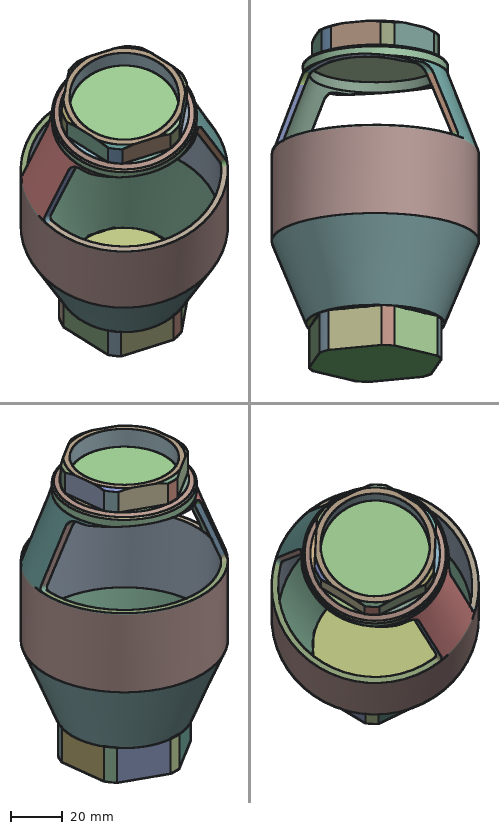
import cadquery as cq
import math

cup_radius = 40.0
wall = 2.6
collar_radius = 28.0
outlet_radius = 26.7
outlet_top = 16.0
lower_cone_top = 48.9
bowl_top = 50.0
cup_wall_top = 83.6
rim_height = 84.4
rim_radius = 39.9
upper_cone_top = 115.7
collar_top = 119.9
collar_chamfer = 0.8

outlet_flats = 47.9
outlet_corner_radius = 26.3

arm_width = 22.5
window_top = 114.5
slope_start = 18.8
slope_angle = 11.5
window_reach = cup_radius + 1.3
window_top_fillet = 3.7
window_bottom_fillet = 1.8

total_height = 130.8
flange_top = 120.7
flange_top_radius = 25.0
cap_flats = 46.0
cap_corner_radius = 25.1
cap_top_radius = 23.5
cap_chamfer_angle = 30.0
recess_radius = 21.0
recess_depth = 8.0

flange_radius = collar_radius - collar_chamfer


def revolve(points):
    """Turn a closed (radius, height) outline about the Z axis."""
    return cq.Workplane("XZ").polyline(points).close().revolve(360, (0, 0), (0, 1))


def hexagon(across_flats, bottom, height):
    """Hexagonal prism with two flats facing +X and -X."""
    across_corners = across_flats / math.cos(math.pi / 6)
    prism = cq.Workplane("XY").polygon(6, across_corners).extrude(height)
    return prism.rotate((0, 0, 0), (0, 0, 1), 30).translate((0, 0, bottom))


def make_window():
    """Cutter for the opening on the +X side, running right through along Y."""
    side = arm_width / 2
    rise = (window_reach - slope_start) * math.tan(math.radians(slope_angle))
    outline = [
        (side, rim_height),
        (window_reach, rim_height),
        (window_reach, window_top + rise),
        (slope_start, window_top),
        (side, window_top),
    ]
    cutter = cq.Workplane("XZ").polyline(outline).close().extrude(window_reach, both=True)
    top_corner = cq.selectors.NearestToPointSelector((side, 0, window_top))
    bottom_corner = cq.selectors.NearestToPointSelector((side, 0, rim_height))
    cutter = cutter.edges(top_corner).fillet(window_top_fillet)
    return cutter.edges(bottom_corner).fillet(window_bottom_fillet)


def make_housing():
    shell = revolve([
        (outlet_radius, outlet_top),
        (cup_radius, lower_cone_top),
        (cup_radius, cup_wall_top),
        (rim_radius, rim_height),
        (collar_radius, upper_cone_top),
        (collar_radius, collar_top - collar_chamfer),
        (flange_radius, collar_top),
        (collar_radius - wall, collar_top),
        (collar_radius - wall, upper_cone_top),
        (cup_radius - wall, rim_height),
        (cup_radius - wall, bowl_top),
        (outlet_radius - wall, outlet_top),
    ])
    outlet = hexagon(outlet_flats, 0, outlet_top)
    outlet = outlet.intersect(cq.Workplane("XY").circle(outlet_corner_radius).extrude(outlet_top))
    window = make_window()
    return shell.union(outlet).cut(window).cut(window.mirror("YZ"))


def make_cap():
    flange = revolve([
        (0, collar_top),
        (flange_radius, collar_top),
        (flange_top_radius, flange_top),
        (0, flange_top),
    ])
    drop = (cap_corner_radius - cap_top_radius) * math.tan(math.radians(cap_chamfer_angle))
    turned_blank = revolve([
        (0, flange_top),
        (cap_corner_radius, flange_top),
        (cap_corner_radius, total_height - drop),
        (cap_top_radius, total_height),
        (0, total_height),
    ])
    head = hexagon(cap_flats, flange_top, total_height - flange_top).intersect(turned_blank)
    recess = cq.Workplane("XY", origin=(0, 0, total_height)).circle(recess_radius).extrude(-recess_depth)
    return flange.union(head).cut(recess)


housing = make_housing()
cap = make_cap()

result = cq.Compound.makeCompound([housing.val(), cap.val()])